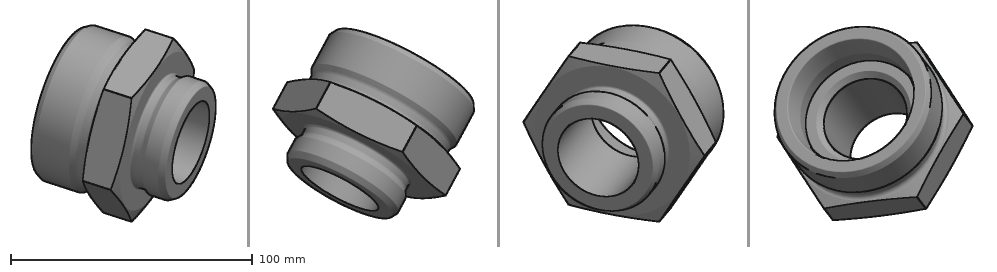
import cadquery as cq
import math

total_length = 58.0
hex_start = 26.0
hex_end = 42.0
large_thread_end = 18.2
small_thread_start = 48.6

large_thread_diameter = 68.0
large_groove_diameter = 64.9
small_thread_diameter = 52.0
small_groove_diameter = 48.9

thread_chamfer_angle = 30.0
large_groove_fillet = 1.8
small_groove_fillet = 1.0
edge_break_radius = 0.5
bore_edge_radius = 0.2

across_flats = 70.0
across_corners = 80.72
hex_chamfer_angle = 15.0
hex_chamfer_diameter = 69.0

bore_diameter = 36.0
socket_diameter = 50.26
socket_depth = 18.0
seat_cone_half_angle = 12.0
seat_cone_depth = 10.3
bore_entry_diameter = 41.0
bore_entry_angle = 45.0


def cone_length(outer_diameter, inner_diameter, angle):
    """Axial length of a cone whose side makes the given angle with the axis."""
    return (outer_diameter - inner_diameter) / 2 / math.tan(math.radians(angle))


large_chamfer_length = cone_length(large_thread_diameter, large_groove_diameter, thread_chamfer_angle)
small_chamfer_length = cone_length(small_thread_diameter, small_groove_diameter, thread_chamfer_angle)
bore_entry_length = cone_length(bore_entry_diameter, bore_diameter, bore_entry_angle)
mouth_diameter = socket_diameter + 2 * seat_cone_depth * math.tan(math.radians(seat_cone_half_angle))


def revolve_about_x(points):
    """Solid of revolution about X from (x, diameter) points, closed along the axis."""
    outline = [(x, diameter / 2) for x, diameter in points]
    first_x = outline[0][0]
    last_x = outline[-1][0]
    profile = cq.Workplane("XY").polyline([(first_x, 0), *outline, (last_x, 0)]).close()
    return profile.revolve(360, (0, 0, 0), (1, 0, 0))


def round_circles(body, circles, radius):
    """Fillet the circular edges given as (x, diameter) pairs."""
    tolerance = 0.001

    def is_wanted(edge):
        return any(
            abs(edge.arcCenter().x - x) < tolerance and abs(2 * edge.radius() - diameter) < tolerance
            for x, diameter in circles
        )

    edges = [edge for edge in body.edges("%CIRCLE").vals() if is_wanted(edge)]
    return body.newObject(edges).fillet(radius)


def make_turned_core():
    """Both threaded ends with their grooves, joined through the middle of the hexagon."""
    hex_middle = (hex_start + hex_end) / 2
    return revolve_about_x([
        (0, large_groove_diameter),
        (large_chamfer_length, large_thread_diameter),
        (large_thread_end, large_thread_diameter),
        (large_thread_end + large_chamfer_length, large_groove_diameter),
        (hex_middle, large_groove_diameter),
        (hex_middle, small_groove_diameter),
        (small_thread_start - small_chamfer_length, small_groove_diameter),
        (small_thread_start, small_thread_diameter),
        (total_length - small_chamfer_length, small_thread_diameter),
        (total_length, small_groove_diameter),
    ])


def make_hexagon():
    """Hexagon with flats facing +Z and -Z, its corners turned down by cones at both faces."""
    corner_distance = across_flats / math.cos(math.radians(30))
    hexagon = (
        cq.Workplane("YZ", origin=(hex_start, 0, 0))
        .polygon(6, corner_distance)
        .extrude(hex_end - hex_start)
    )
    chamfer_height = (across_corners - hex_chamfer_diameter) / 2
    chamfer_length = chamfer_height * math.tan(math.radians(hex_chamfer_angle))
    turned_blank = revolve_about_x([
        (hex_start, hex_chamfer_diameter),
        (hex_start + chamfer_length, across_corners),
        (hex_end - chamfer_length, across_corners),
        (hex_end, hex_chamfer_diameter),
    ])
    return hexagon.intersect(turned_blank)


def make_bore():
    """Tapered tube socket in the large end, leading through a conical entry into the through bore."""
    return revolve_about_x([
        (0, mouth_diameter),
        (seat_cone_depth, socket_diameter),
        (socket_depth, socket_diameter),
        (socket_depth, bore_entry_diameter),
        (socket_depth + bore_entry_length, bore_diameter),
        (total_length, bore_diameter),
    ])


def round_grooves(body):
    """Fillet both inner corners of each groove."""
    large_corners = [
        (large_thread_end + large_chamfer_length, large_groove_diameter),
        (hex_start, large_groove_diameter),
    ]
    small_corners = [
        (hex_end, small_groove_diameter),
        (small_thread_start - small_chamfer_length, small_groove_diameter),
    ]
    body = round_circles(body, large_corners, large_groove_fillet)
    return round_circles(body, small_corners, small_groove_fillet)


def break_edges(body):
    """Take the sharpness off the thread edges, both end faces and the bore entry."""
    outer_edges = [
        (0, mouth_diameter),
        (0, large_groove_diameter),
        (large_chamfer_length, large_thread_diameter),
        (large_thread_end, large_thread_diameter),
        (small_thread_start, small_thread_diameter),
        (total_length - small_chamfer_length, small_thread_diameter),
        (total_length, small_groove_diameter),
    ]
    bore_edges = [
        (socket_depth, bore_entry_diameter),
        (socket_depth + bore_entry_length, bore_diameter),
    ]
    body = round_circles(body, outer_edges, edge_break_radius)
    return round_circles(body, bore_edges, bore_edge_radius)


body = make_hexagon().union(make_turned_core()).cut(make_bore())
result = break_edges(round_grooves(body))